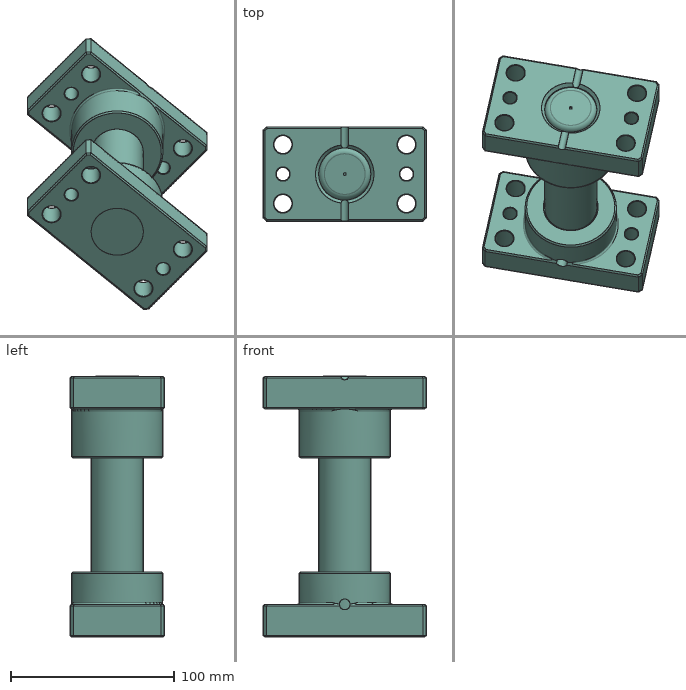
import cadquery as cq

plate_length = 100.0
plate_width = 58.0
plate_height = 20.0
plate_edge_chamfer = 1.0
plate_corner_chamfer = 2.0

hole_x = 38.0
screw_hole_y = 18.0
screw_hole_diameter = 11.0
dowel_hole_diameter = 8.2
hole_rim_chamfer = 0.3

boss_diameter = 56
boss_edge_chamfer = 1.0
boss_root_fillet = 1.1
holder_boss_height = 20.0
bushing_boss_height = 30.0

pin_diameter = 32
pin_length = 160
pin_tip_fillet = 3.5
center_mark_diameter = 1.6
center_mark_depth = 0.8
pin_protrusion = 0.2

holder_bore_chamfer = 0.8
bushing_bore_chamfer = 2.0
vent_groove_diameter = 4.5
vent_groove_depth = 2.0
cross_hole_diameter = 6.5


def flanged_block(boss_height):
    """Plate standing on Z = 0 with a round boss and mounting holes."""
    plate = (
        cq.Workplane("XY")
        .box(plate_length, plate_width, plate_height, centered=(True, True, False))
        .edges("|Z")
        .chamfer(plate_corner_chamfer)
        .faces("<Z or >Z")
        .edges()
        .chamfer(plate_edge_chamfer)
    )
    boss = (
        cq.Workplane("XY", origin=(0, 0, plate_height))
        .circle(boss_diameter / 2)
        .extrude(boss_height)
        .faces(">Z")
        .edges()
        .chamfer(boss_edge_chamfer)
    )
    screw_holes = [(x, y) for x in (-hole_x, hole_x) for y in (-screw_hole_y, screw_hole_y)]
    dowel_holes = [(-hole_x, 0), (hole_x, 0)]
    block = plate.union(boss).union(boss_root())
    block = block.cut(mounting_holes(screw_holes, screw_hole_diameter))
    block = block.cut(mounting_holes(dowel_holes, dowel_hole_diameter))
    pin_bore = cq.Workplane("XY").circle(pin_diameter / 2).extrude(plate_height + boss_height)
    return block.cut(pin_bore)


def mounting_holes(points, diameter):
    """Cutters for through holes with a small chamfer at both plate faces."""
    bore_radius = diameter / 2
    rim_radius = bore_radius + hole_rim_chamfer
    cutter = (
        cq.Workplane("XZ")
        .moveTo(0, 0)
        .lineTo(rim_radius, 0)
        .lineTo(bore_radius, hole_rim_chamfer)
        .lineTo(bore_radius, plate_height - hole_rim_chamfer)
        .lineTo(rim_radius, plate_height)
        .lineTo(0, plate_height)
        .close()
        .revolve(360, (0, 0, 0), (0, 1, 0))
        .val()
    )
    return cq.Workplane("XY").pushPoints(points).eachpoint(lambda place: cutter.moved(place))


def boss_root():
    """Concave ring where the boss meets the plate, trimmed to the flat of the plate."""
    inner = boss_diameter / 2
    outer = inner + boss_root_fillet
    top = plate_height + boss_root_fillet
    sag = boss_root_fillet * (1 - 0.5 ** 0.5)
    ring = (
        cq.Workplane("XZ")
        .moveTo(inner - boss_root_fillet, plate_height)
        .lineTo(outer, plate_height)
        .threePointArc((inner + sag, plate_height + sag), (inner, top))
        .lineTo(inner - boss_root_fillet, top)
        .close()
        .revolve(360, (0, 0, 0), (0, 1, 0))
    )
    flat_length = plate_length - 2 * plate_edge_chamfer
    flat_width = plate_width - 2 * plate_edge_chamfer
    flat = (
        cq.Workplane("XY", origin=(0, 0, plate_height))
        .rect(flat_length, flat_width)
        .extrude(boss_root_fillet, taper=45)
    )
    return ring.intersect(flat)


def bore_countersink(height, chamfer):
    """Cone that opens the mouth of the pin bore upward to the given height."""
    radius = pin_diameter / 2
    return (
        cq.Workplane("XZ")
        .moveTo(0, height)
        .lineTo(radius + chamfer, height)
        .lineTo(radius, height - chamfer)
        .lineTo(0, height - chamfer)
        .close()
        .revolve(360, (0, 0, 0), (0, 1, 0))
    )


def make_pin_holder():
    boss_top = plate_height + holder_boss_height
    holder = flanged_block(holder_boss_height)
    holder = holder.cut(bore_countersink(boss_top, holder_bore_chamfer))
    cross_hole = (
        cq.Workplane("XZ", origin=(0, 0, plate_height))
        .circle(cross_hole_diameter / 2)
        .extrude(plate_width / 2)
    )
    return holder.cut(cross_hole)


def make_bushing():
    bushing = flanged_block(bushing_boss_height).rotate((0, 0, 0), (1, 0, 0), 180)
    groove_axis_z = vent_groove_diameter / 2 - vent_groove_depth
    groove = (
        cq.Workplane("XZ", origin=(0, plate_width / 2, groove_axis_z))
        .circle(vent_groove_diameter / 2)
        .extrude(plate_width)
    )
    bushing = bushing.cut(bore_countersink(0, bushing_bore_chamfer)).cut(groove)
    return bushing.translate((0, 0, pin_length - pin_protrusion))


def make_guide_pin():
    return (
        cq.Workplane("XY")
        .circle(pin_diameter / 2)
        .extrude(pin_length)
        .faces(">Z")
        .edges()
        .fillet(pin_tip_fillet)
        .faces(">Z")
        .workplane()
        .hole(center_mark_diameter, center_mark_depth)
    )


pin_holder = make_pin_holder()
bushing = make_bushing()
guide_pin = make_guide_pin()

result = cq.Compound.makeCompound([pin_holder.val(), bushing.val(), guide_pin.val()])